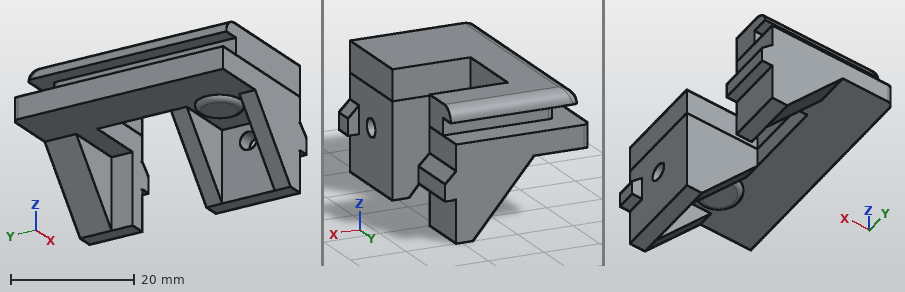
import cadquery as cq

plate_length = 40.0
plate_width = 24.0
plate_thickness = 4.0
corner_radius = 1.0

notch_x = 10.0
notch_y_start = 16.0
notch_y_end = 30.0

leg_height = 13.0
leg_wall_thickness = 3.0
leg_wall_x = plate_width - leg_wall_thickness
gusset_x = 10.0
side_gusset_thickness = 3.0
end_gusset_thickness = 6.0

tab_depth = 2.0
tab_bottom_z = -5.5
tab_tip_z = -2.5
tab_root_z = -0.55
front_tab_length = 3.5

groove_height = 3.0
groove_inset = 4.0
groove_end_inset = 5.0
rim_thickness = 2.5
rim_fillet = rim_thickness - 0.005
rim_inset = 1.0
rim_end_inset = 2.0

foot_diameter = 8.0
foot_height = 1.0
foot_fillet = 0.95
foot_x = 12.0
foot_y = notch_y_start / 2
hole_diameter = 3.2
hole_z = -3.0


def corner_block(x_start, y_end, z_start, height):
    """Block from x_start to the +X side and from Y = 0 to y_end, rounded at its -X +Y corner."""
    block = cq.Workplane("XY").box(plate_width - x_start, y_end, height, centered=False)
    block = block.translate((x_start, 0, z_start))
    return block.edges("|Z and <X and >Y").fillet(corner_radius)


def cut_notch(body):
    """Cut the notch through the full height of a plate-like body."""
    notch = cq.Workplane("XY").rect(plate_width, notch_y_end - notch_y_start)
    notch = notch.extrude(plate_length, both=True)
    notch = notch.translate((notch_x + plate_width / 2, (notch_y_start + notch_y_end) / 2, 0))
    return body.cut(notch)


def side_prism(points, y_start, y_end):
    """Extrude an XZ outline from y_start to y_end."""
    prism = cq.Workplane("XZ").polyline(points).close().extrude(y_start - y_end)
    return prism.translate((0, y_start, 0))


def make_leg_wall(y_start, y_end):
    outline = [
        (leg_wall_x, 0),
        (plate_width, 0),
        (plate_width, -leg_height),
        (leg_wall_x, -leg_height),
    ]
    return side_prism(outline, y_start, y_end)


def make_gusset(y_start, thickness):
    outline = [(gusset_x, 0), (leg_wall_x, 0), (leg_wall_x, -leg_height)]
    return side_prism(outline, y_start, y_start + thickness)


def make_tab(y_start, y_end):
    tip_x = plate_width + tab_depth
    outline = [
        (plate_width, tab_bottom_z),
        (tip_x, tab_bottom_z),
        (tip_x, tab_tip_z),
        (plate_width, tab_root_z),
    ]
    return side_prism(outline, y_start, y_end)


def make_base():
    base = cut_notch(corner_block(0, plate_length, 0, plate_thickness))

    base = base.union(make_leg_wall(0, notch_y_start))
    base = base.union(make_leg_wall(notch_y_end, plate_length))

    for y_start in (0, notch_y_start - side_gusset_thickness):
        base = base.union(make_gusset(y_start, side_gusset_thickness))
    base = base.union(make_gusset(plate_length - end_gusset_thickness, end_gusset_thickness))

    base = base.union(make_tab(0, front_tab_length))
    base = base.union(make_tab(notch_y_end, plate_length))

    hole = cq.Workplane("YZ").center(foot_y, hole_z).circle(hole_diameter / 2)
    return base.cut(hole.extrude(plate_width))


def make_rim():
    """Upper slab of the cover with a quarter-round along its -X and +Y sides."""
    z_start = plate_thickness + groove_height
    y_end = plate_length - rim_end_inset
    rim = corner_block(rim_inset, y_end, z_start, rim_thickness)
    return rim.faces(">Z").edges("<X").fillet(rim_fillet)


def make_cover():
    core = corner_block(groove_inset, plate_length - groove_end_inset, plate_thickness, groove_height)
    return cut_notch(core.union(make_rim()))


def make_foot():
    foot = cq.Workplane("XY").center(foot_x, foot_y).circle(foot_diameter / 2).extrude(-foot_height)
    return foot.faces("<Z").edges().fillet(foot_fillet)


base = make_base()
cover = make_cover()
foot = make_foot()

result = cq.Compound.makeCompound([base.val(), cover.val(), foot.val()])